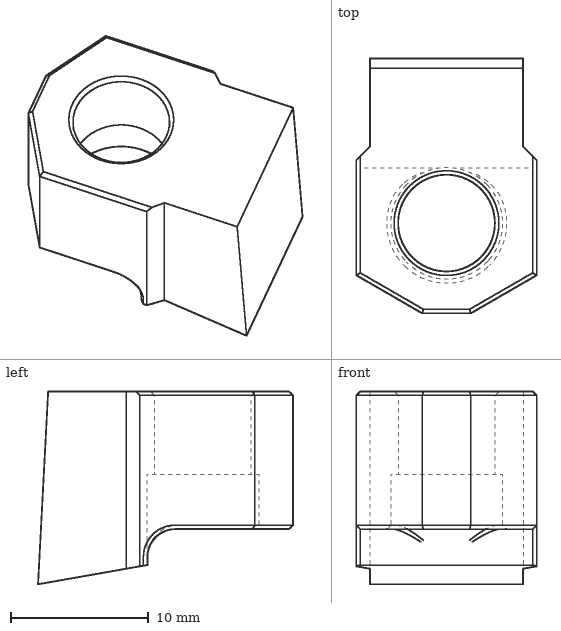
import cadquery as cq
import math


HALF_WIDTH = 6.55
NECK_HALF_WIDTH = 5.55
REAR_Y = 11.95
HEIGHT = 14.0
REAR_RAKE = math.radians(3)
BOTTOM_SLOPE = math.radians(10)

FRONT_CORNER_ANGLE = math.radians(30)
FRONT_FLAT_HALF = HALF_WIDTH * math.tan(FRONT_CORNER_ANGLE / 2)
SHOULDER = HALF_WIDTH - NECK_HALF_WIDTH
SHOULDER_FRONT_Y = 4.55

HEAD_THICKNESS = 10.0
UNDERCUT_WALL_Y = 4.0
UNDERCUT_RADIUS = 2.0

HOLE_RADIUS = 3.5
COUNTERBORE_RADIUS = 4.05
COUNTERBORE_DEPTH = 4.0

CHAMFER = 0.3

OVERCUT = 1.0
SELECT_TOL = 0.05
BEVEL_SECTIONS = 9
BEVEL_OVERRUN = 0.1

UNDERSIDE_Z = -HEAD_THICKNESS
ARC_Y = UNDERCUT_WALL_Y - UNDERCUT_RADIUS
ARC_Z = UNDERSIDE_Z - UNDERCUT_RADIUS
FRONT_CORNER_Y = -HALF_WIDTH + (HALF_WIDTH - FRONT_FLAT_HALF) * math.tan(FRONT_CORNER_ANGLE)


def plan_prism():
    """Head with cut front corners, stepping in to the rear neck."""
    half_outline = [
        (FRONT_FLAT_HALF, -HALF_WIDTH),
        (HALF_WIDTH, FRONT_CORNER_Y),
        (HALF_WIDTH, SHOULDER_FRONT_Y),
        (NECK_HALF_WIDTH, SHOULDER_FRONT_Y + SHOULDER),
        (NECK_HALF_WIDTH, REAR_Y),
    ]
    mirrored = [(-x, y) for x, y in reversed(half_outline)]
    return cq.Workplane("XY").polyline(half_outline + mirrored).close().extrude(-HEIGHT)


def side_prism():
    """Side outline with raked rear, sloping bottom and rounded undercut."""
    top_rear_y = REAR_Y - HEIGHT * math.tan(REAR_RAKE)
    leg_front_z = -HEIGHT + (REAR_Y - UNDERCUT_WALL_Y) * math.tan(BOTTOM_SLOPE)
    diagonal = UNDERCUT_RADIUS * math.sqrt(0.5)
    return (
        cq.Workplane("YZ")
        .moveTo(-HALF_WIDTH, 0)
        .lineTo(top_rear_y, 0)
        .lineTo(REAR_Y, -HEIGHT)
        .lineTo(UNDERCUT_WALL_Y, leg_front_z)
        .lineTo(UNDERCUT_WALL_Y, ARC_Z)
        .threePointArc((ARC_Y + diagonal, ARC_Z + diagonal), (ARC_Y, UNDERSIDE_Z))
        .lineTo(-HALF_WIDTH, UNDERSIDE_Z)
        .close()
        .extrude(HALF_WIDTH, both=True)
    )


def edges_in_box(low, high):
    """Selector for edges whose centre lies between two corners."""
    return cq.selectors.BoxSelector(low, high)


def chamfer_outer_edges(body):
    """Chamfer the head's top rim and the whole side rim of the undercut."""
    outside = HALF_WIDTH + OVERCUT
    inside = HALF_WIDTH - SELECT_TOL
    top_rim = edges_in_box(
        (-outside, -outside, -SELECT_TOL), (outside, SHOULDER_FRONT_Y, SELECT_TOL)
    )
    front_rim = edges_in_box(
        (-outside, -outside, UNDERSIDE_Z - SELECT_TOL),
        (outside, FRONT_CORNER_Y, UNDERSIDE_Z + SELECT_TOL),
    )
    wall_limit_y = UNDERCUT_WALL_Y + SELECT_TOL
    rim_top_z = UNDERSIDE_Z + SELECT_TOL
    right_rim = edges_in_box((inside, -outside, -HEIGHT), (outside, wall_limit_y, rim_top_z))
    left_rim = edges_in_box((-outside, -outside, -HEIGHT), (-inside, wall_limit_y, rim_top_z))
    body = body.edges(top_rim).chamfer(CHAMFER)
    return body.edges(front_rim + right_rim + left_rim).chamfer(CHAMFER)


def bore():
    """Through hole with a chamfered mouth and a counterbore from below."""
    mouth_radius = HOLE_RADIUS + CHAMFER
    ledge_z = UNDERSIDE_Z + COUNTERBORE_DEPTH
    return (
        cq.Workplane("XZ")
        .polyline([
            (0, 0),
            (mouth_radius, 0),
            (HOLE_RADIUS, -CHAMFER),
            (HOLE_RADIUS, ledge_z),
            (COUNTERBORE_RADIUS, ledge_z),
            (COUNTERBORE_RADIUS, -HEIGHT - OVERCUT),
            (0, -HEIGHT - OVERCUT),
        ])
        .close()
        .revolve(360, (0, 0, 0), (0, 1, 0))
    )


def bevel_section(angle, side):
    """Triangle of the counterbore bevel at an angle round the undercut radius.

    Both faces are offset into the material by the chamfer size. Where the
    offsets meet, stepping back along each normal gives the bevel's borders.
    The angle runs from 0 at the underside to 90 degrees at the leg wall.
    """
    offset_radius = COUNTERBORE_RADIUS + CHAMFER
    y = ARC_Y + (UNDERCUT_RADIUS + CHAMFER) * math.sin(angle)
    z = ARC_Z + (UNDERCUT_RADIUS + CHAMFER) * math.cos(angle)
    x = side * math.sqrt(offset_radius ** 2 - y ** 2)
    meeting = cq.Vector(x, y, z)
    undercut_step = cq.Vector(0, math.sin(angle), math.cos(angle)) * CHAMFER
    bore_step = cq.Vector(x, y, 0) * (CHAMFER / offset_radius)

    undercut_border = meeting - undercut_step
    bore_border = meeting - bore_step
    open_corner = meeting - undercut_step - bore_step
    overrun = (undercut_border - bore_border) * BEVEL_OVERRUN
    corners = [undercut_border + overrun, bore_border - overrun, open_corner]
    return cq.Wire.makePolygon(corners, close=True)


def bevel_on_leg(side):
    """Bevel along the undercut radius and down the leg wall, on one side."""
    angles = [i * math.pi / 2 / (BEVEL_SECTIONS - 1) for i in range(BEVEL_SECTIONS)]
    sections = [bevel_section(angle, side) for angle in angles]
    around_radius = cq.Solid.makeLoft(sections)
    down_wall = cq.Solid.extrudeLinear(sections[-1], [], cq.Vector(0, 0, -HEIGHT))
    return [around_radius, down_wall]


def bevel_on_underside():
    """Conical bevel round the flat part of the underside, ahead of the radius."""
    end_angle = math.degrees(math.asin(ARC_Y / (COUNTERBORE_RADIUS + CHAMFER)))
    cone = bevel_section(0, 1)
    sweep = 180 + 2 * end_angle
    return cq.Solid.revolve(cone, [], -sweep, cq.Vector(0, 0, 0), cq.Vector(0, 0, 1))


body = plan_prism().intersect(side_prism())
body = chamfer_outer_edges(body)
body = body.cut(bore())
for cutter in [bevel_on_underside()] + bevel_on_leg(-1) + bevel_on_leg(1):
    body = body.cut(cq.Workplane(cutter))
result = cq.Workplane(body.solids().val())